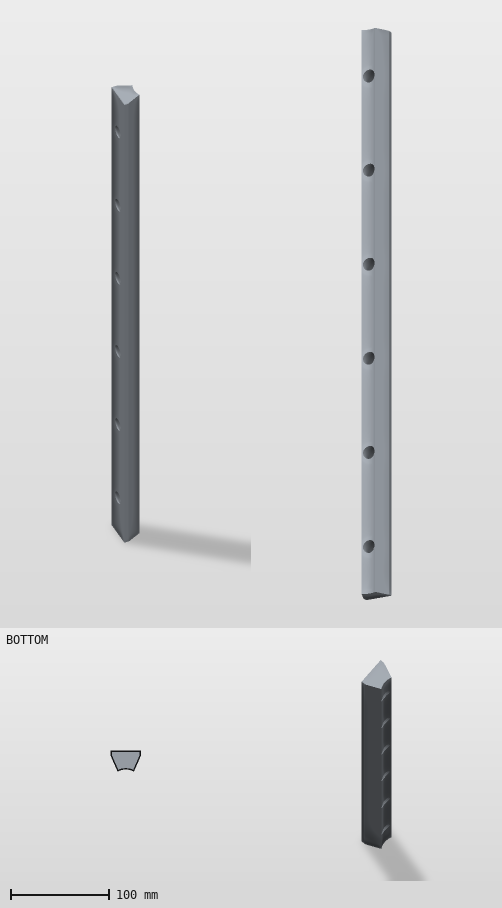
import cadquery as cq
import math

base_width = 30.0
height = 20.39
length = 599.5

side_height = 4.45
crown_width = 16.0
shaft_diameter = 35.0

end_chamfer = 0.5

hole_diameter = 13.5
hole_count = 6
hole_pitch = 100.0
first_hole_z = hole_pitch / 2


def make_rail():
    """Extrude the tapered section with a concave cradle along its crown."""
    half_base = base_width / 2
    half_crown = crown_width / 2
    shaft_radius = shaft_diameter / 2
    cradle_depth = shaft_radius - math.sqrt(shaft_radius**2 - half_crown**2)
    return (
        cq.Workplane("XY")
        .moveTo(-half_base, 0)
        .lineTo(half_base, 0)
        .lineTo(half_base, side_height)
        .lineTo(half_crown, height)
        .threePointArc((0, height - cradle_depth), (-half_crown, height))
        .lineTo(-half_base, side_height)
        .close()
        .extrude(length)
    )


def chamfer_ends(rail):
    """Break the base and side edges of both end faces."""
    return rail.faces("|Z").edges("<Y or <X or >X").chamfer(end_chamfer)


def make_mounting_holes():
    """Row of cylinders through the full height of the rail."""
    centres = [(0, first_hole_z + i * hole_pitch) for i in range(hole_count)]
    return (
        cq.Workplane("XZ")
        .pushPoints(centres)
        .circle(hole_diameter / 2)
        .extrude(-height)
    )


result = chamfer_ends(make_rail()).cut(make_mounting_holes())